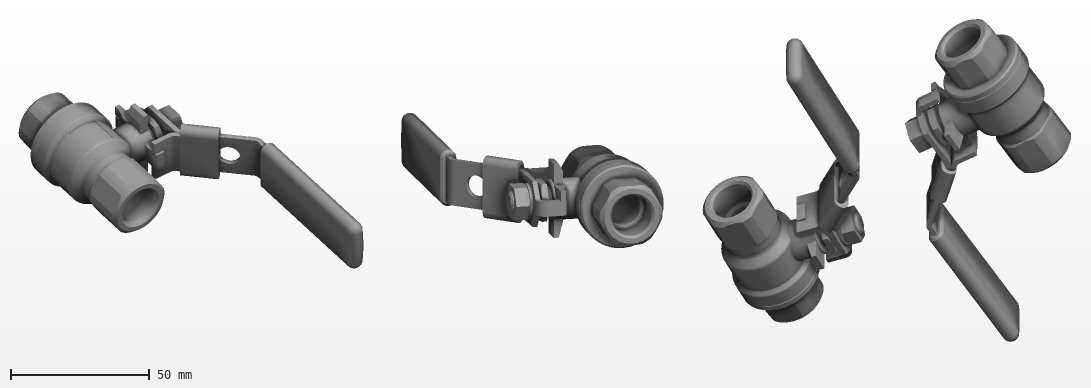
import cadquery as cq
import math


body_length = 60.0
flange_start, flange_end = -16.8, -8.0
flange_radius = 15.5
flange_chamfer = 0.6
flange_groove_x = -13.9
flange_groove_width = 0.4
flange_groove_depth = 0.2
barrel_radius = 14.0
barrel_end = 6.0
shoulder_fillet = 1.2
flange_fillet = 0.6
tail_neck_radius = 10.8
tail_hex_start = 14.2
hex_flats = 22.1
hex_turned_radius = 11.8
hex_end_radius = 10.2
hex_end_taper = 1.5
hex_back_taper = 0.8

bore_radius = 6.4
socket_radius = 7.5
socket_mouth_radius = 8.4
socket_depth = 11.2

panel_start, panel_end = -6.1, 5.5
panel_width = 12.0
panel_depth = 0.2
panel_corner = 0.8

neck_radius = 7.5
neck_top = 23.0
neck_rim_chamfer = 0.4
neck_root_fillet = 0.4
gland_radius = 4.8
gland_nut_bottom, gland_nut_top = 24.9, 27.4
gland_nut_flats = 14.0
stem_radius = 4.0
stem_top = 38.1
stem_chamfer = 0.8
nut_top = 37.0
nut_flats = 12.0
nut_corner_height = 0.5
nut_collar_height = 1.1
nut_collar_radius = 6.6

sheet = 1.9
bend_radius = 1.9
lever_width = 17.0
lever_height = 29.6
tab_x = -11.94
tab_bottom = 20.0
tab_width = 5.6
taper_start, taper_end = -9.1, -4.9
ramp_start = 12.0
lever_hole_radius = 4.0
lever_hole_height = 43.0

grip_start, grip_end = 37.5, 95.0
grip_width = 20.9
grip_thickness = 6.1
grip_height = 50.44
grip_edge_radius = 3.0
grip_corner_radius = 3.1
grip_end_bulge = 0.9
grip_mouth_chamfer = 0.9

sleeve_x, sleeve_y = 18.1, 35.2
sleeve_length = 14.0
sleeve_thickness = 5.6
sleeve_width = 23.2
sleeve_slot_width = 19.5
latch_x = 12.19
latch_bottom = 18.5

plate_top = 22.2
plate_bottom = 18.9
plate_thin_bottom = 20.4
wing_half_width = 3.9
upper_wing_reach = 14.2
upper_wing_chamfer_start = 11.5
lower_wing_reach = 13.4
left_arm_end = -13.6
left_arm_slope = (-11.2, -6.9)
left_arm_top = 6.56
right_arm_end = 14.0
right_arm_half_width = 3.6


def box(x_range, y_range, z_range):
    """Block between the given limits."""
    size = [high - low for low, high in (x_range, y_range, z_range)]
    return cq.Workplane("XY").box(*size, centered=False).translate((x_range[0], y_range[0], z_range[0]))


def turned_x(profile):
    """Solid turned about the X axis from (x, radius) points, with its seam away from the stem."""
    outline = [(profile[0][0], 0), *[(x, -radius) for x, radius in profile], (profile[-1][0], 0)]
    return cq.Workplane("XY").polyline(outline).close().revolve(360, (0, 0, 0), (1, 0, 0))


def stem_disc(radius, bottom, top):
    """Cylinder on the stem axis between two heights."""
    return cq.Workplane("XZ", origin=(0, bottom, 0)).circle(radius).extrude(bottom - top)


def stem_hexagon(flats, bottom, top, turned_ends=">Y"):
    """Hexagon on the stem axis with corners on X, which are turned down at the chosen ends."""
    corners = flats / math.cos(math.pi / 6)
    hexagon = cq.Workplane("XZ", origin=(0, bottom, 0)).polygon(6, corners).extrude(bottom - top)
    turned = stem_disc(corners / 2, bottom, top)
    turned = turned.faces(turned_ends).chamfer(nut_corner_height, (corners - flats) / 2)
    return hexagon.intersect(turned)


def body_hexagon(profile):
    """Hexagonal end with flats facing Z, cut to a turned profile."""
    start, end = profile[0][0], profile[-1][0]
    corners = hex_flats / math.cos(math.pi / 6)
    hexagon = cq.Workplane("YZ", origin=(start, 0, 0)).polygon(6, corners).extrude(end - start)
    return hexagon.intersect(turned_x(profile))


def strip(path, width):
    """Sheet bent along (x, y) points, with its width along Z."""
    headings = [math.atan2(b[1] - a[1], b[0] - a[0]) for a, b in zip(path, path[1:])]
    sides = {1: [], -1: []}
    for index, (x, y) in enumerate(path):
        before = headings[max(index - 1, 0)]
        after = headings[min(index, len(headings) - 1)]
        normal = (before + after) / 2 + math.pi / 2
        reach = sheet / 2 / math.cos((after - before) / 2)
        for side, points in sides.items():
            points.append((x + side * reach * math.cos(normal), y + side * reach * math.sin(normal)))
    outline = sides[1] + sides[-1][::-1]
    bent = cq.Workplane("XY").polyline(outline).close().extrude(width / 2, both=True)
    for index in range(1, len(path) - 1):
        turn = headings[index] - headings[index - 1]
        for side, points in sides.items():
            inside = side * turn > 0
            radius = bend_radius if inside else bend_radius + sheet
            corner = cq.selectors.NearestToPointSelector((*points[index], 0))
            bent = bent.edges("|Z").edges(corner).fillet(radius)
    return bent


def stadium(width, thickness, length):
    """Rounded bar along the sleeve direction, centred on the sleeve."""
    direction = cq.Vector(1, 1, 0).normalized()
    start = cq.Vector(sleeve_x, sleeve_y, 0) - direction * (length / 2)
    plane = cq.Plane(origin=start, xDir=(0, 0, 1), normal=direction)
    return cq.Workplane(plane).slot2D(width, thickness).extrude(length)


def make_body():
    end = body_length / 2
    cone_end = barrel_end + barrel_radius - tail_neck_radius
    flange_cone = flange_radius - barrel_radius
    half_groove = flange_groove_width / 2
    shell = turned_x([
        (flange_start, flange_radius - flange_chamfer),
        (flange_start + flange_chamfer, flange_radius),
        (flange_groove_x - half_groove, flange_radius),
        (flange_groove_x, flange_radius - flange_groove_depth),
        (flange_groove_x + half_groove, flange_radius),
        (flange_end, flange_radius),
        (flange_end + flange_cone, barrel_radius),
        (barrel_end, barrel_radius),
        (cone_end, tail_neck_radius),
        (tail_hex_start, tail_neck_radius),
    ])
    rounded_edges = [(flange_end, flange_fillet), (barrel_end, shoulder_fillet), (cone_end, shoulder_fillet)]
    for x, radius in rounded_edges:
        shell = shell.edges(cq.selectors.NearestToPointSelector((x, 0, 0))).fillet(radius)
    shell = shell.union(stem_disc(neck_radius, 0, neck_top).faces(">Y").chamfer(neck_rim_chamfer))
    root_zone = cq.selectors.BoxSelector(
        (-neck_radius - 1.2, tail_neck_radius, -neck_radius - 1.2),
        (neck_radius + 1.2, flange_radius + 1.2, neck_radius + 1.2),
    )
    shell = shell.edges(root_zone).fillet(neck_root_fillet)
    inlet = body_hexagon([
        (-end, hex_end_radius),
        (hex_end_taper - end, hex_turned_radius),
        (flange_start, hex_turned_radius),
    ])
    outlet = body_hexagon([
        (tail_hex_start, tail_neck_radius),
        (tail_hex_start + hex_back_taper, hex_turned_radius),
        (end - hex_end_taper, hex_turned_radius),
        (end, hex_end_radius),
    ])
    return shell.union(inlet).union(outlet)


def make_panel():
    length = panel_end - panel_start
    block = (
        cq.Workplane("XY")
        .box(length, panel_width, flange_radius, centered=(False, True, False))
        .edges("|Z")
        .fillet(panel_corner)
        .translate((panel_start, 0, 0))
    )
    floor_radius = barrel_radius - panel_depth
    return block.cut(turned_x([(panel_start, floor_radius), (panel_end, floor_radius)]))


def make_passage():
    end = body_length / 2
    mouth = socket_mouth_radius - socket_radius
    seat = socket_radius - bore_radius
    half = [
        (end, socket_mouth_radius),
        (end - mouth, socket_radius),
        (end - socket_depth, socket_radius),
        (end - socket_depth - seat, bore_radius),
    ]
    return turned_x([(-x, radius) for x, radius in half] + half[::-1])


def make_stem():
    lever_top = lever_height + sheet / 2
    nut_bottom = lever_top + nut_collar_height
    return (
        stem_disc(stem_radius, neck_top, stem_top).faces(">Y").chamfer(stem_chamfer)
        .union(stem_disc(gland_radius, neck_top, gland_nut_bottom))
        .union(stem_hexagon(gland_nut_flats, gland_nut_bottom, gland_nut_top))
        .union(stem_disc(nut_collar_radius, lever_top, nut_bottom))
        .union(stem_hexagon(nut_flats, nut_bottom, nut_top, "<Y"))
    )


def make_lever():
    ramp_end = ramp_start + grip_height - lever_height
    sheet_end = grip_start + 1.2
    path = [
        (tab_x, tab_bottom),
        (tab_x, lever_height),
        (ramp_start, lever_height),
        (ramp_end, grip_height),
        (sheet_end, grip_height),
    ]
    half_tab, half_lever = tab_width / 2, lever_width / 2
    edge = [
        (tab_x - sheet, half_tab),
        (taper_start, half_tab),
        (taper_end, half_lever),
        (sheet_end, half_lever),
    ]
    outline = edge + [(x, -z) for x, z in edge[::-1]]
    blank = cq.Workplane("XZ").polyline(outline).close().extrude(-grip_height - grip_thickness)
    hole_x = ramp_start + lever_hole_height - lever_height
    hole_plane = cq.Plane(origin=(hole_x, lever_hole_height, 0), xDir=(0, 0, 1), normal=(-1, 1, 0))
    hole = cq.Workplane(hole_plane).circle(lever_hole_radius).extrude(sheet, both=True)
    return strip(path, lever_width).intersect(blank).cut(hole)


def make_grip():
    half = grip_width / 2
    shoulder = grip_end - grip_end_bulge
    grip = (
        cq.Workplane("XZ", origin=(0, grip_height + grip_thickness / 2, 0))
        .moveTo(grip_start, -half)
        .lineTo(shoulder, -half)
        .threePointArc((grip_end, 0), (shoulder, half))
        .lineTo(grip_start, half)
        .close()
        .extrude(grip_thickness)
    )
    grip = grip.edges("|Y").edges(">X").fillet(grip_corner_radius)
    grip = grip.faces("<Y or >Y").edges("not <X").fillet(grip_edge_radius)
    return grip.faces("<X").chamfer(grip_mouth_chamfer)


def make_sleeve():
    sleeve = stadium(sleeve_width, sleeve_thickness, sleeve_length)
    lever_line = lever_height - ramp_start
    latch_line = lever_line - sheet * math.sqrt(2)
    slot_shift = (sleeve_y - sleeve_x - (lever_line + latch_line) / 2) / 2
    slot = stadium(sleeve_slot_width, sheet * 2, sleeve_length).translate((slot_shift, -slot_shift, 0))
    latch_end = sleeve_x + sleeve_length / 2 * math.sqrt(0.5)
    latch = strip(
        [(latch_x, latch_bottom), (latch_x, latch_x + latch_line), (latch_end, latch_end + latch_line)],
        lever_width,
    )
    return sleeve.cut(slot).union(latch)


def make_stop_plate():
    thickness = (plate_bottom, plate_top)
    wings = (
        cq.Workplane("YZ")
        .polyline([
            (plate_top, upper_wing_reach),
            (plate_thin_bottom, upper_wing_reach),
            (plate_bottom, upper_wing_chamfer_start),
            (plate_bottom, -neck_radius),
            (plate_thin_bottom, -lower_wing_reach),
            (plate_top, -lower_wing_reach),
        ])
        .close()
        .extrude(wing_half_width, both=True)
    )
    left_arm = (
        cq.Workplane("XY", origin=(0, 0, tab_width / 2))
        .polyline([
            (0, plate_top),
            (left_arm_end, plate_top),
            (left_arm_end, plate_thin_bottom),
            (left_arm_slope[0], plate_thin_bottom),
            (left_arm_slope[1], plate_bottom),
            (0, plate_bottom),
        ])
        .close()
        .extrude(left_arm_top - tab_width / 2)
    )
    right_arm = box((0, right_arm_end), thickness, (-right_arm_half_width, right_arm_half_width))
    return wings.union(left_arm).union(right_arm)


result = (
    make_body()
    .cut(make_panel())
    .union(make_stop_plate())
    .cut(make_passage())
    .union(make_stem())
    .union(make_lever())
    .union(make_grip())
    .union(make_sleeve())
)